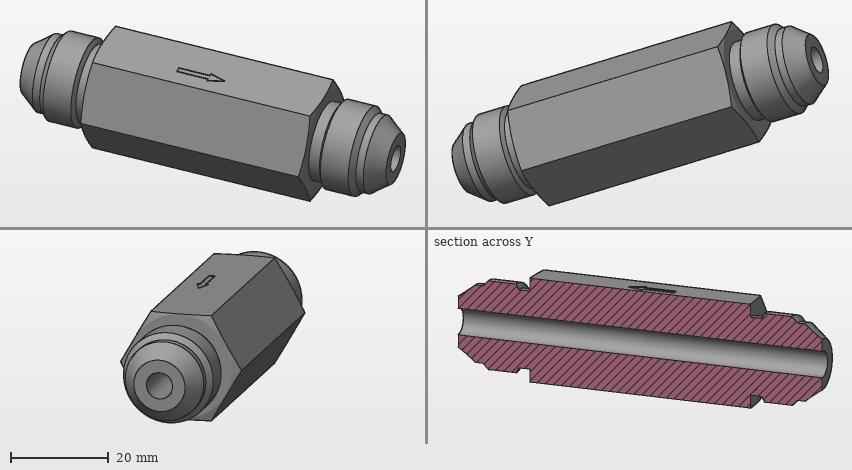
import cadquery as cq
import math

total_length = 80.3
hex_length = 48.7
hex_sides = 6
hex_across_flats = 22.2
hex_across_corners = hex_across_flats / math.cos(math.pi / hex_sides)

hex_face_diameter = 21.9
hex_chamfer_angle = 15.0

tip_diameter = 10.8
nose_diameter = 16.6
collar_diameter = 19.0
neck_diameter = 16.8
flare_half_angle = 37.0
nose_end = 5.45
collar_end = 13.4
collar_outer_chamfer_angle = 45.0
collar_inner_chamfer_angle = 60.0

bore_diameter = 5.5

arrow_tail_x = -6.8
arrow_head_x = 0.0
arrow_tip_x = 3.45
arrow_center_y = -2.1
arrow_shaft_width = 1.2
arrow_head_width = 2.4
arrow_depth = 0.2


def cone_length(small_diameter, large_diameter, half_angle):
    """Axial length of a cone whose wall leans half_angle from the axis."""
    return (large_diameter - small_diameter) / 2 / math.tan(math.radians(half_angle))


def revolve_about_x(points):
    """Solid of revolution about X from a closed (x, radius) outline."""
    return cq.Workplane("XY").polyline(points).close().revolve(360, (0, 0, 0), (1, 0, 0))


def make_hex_bar():
    """Hexagonal bar with flats facing +Z and -Z and its corners turned down at both ends."""
    bar = (
        cq.Workplane("YZ")
        .polygon(hex_sides, hex_across_corners)
        .extrude(hex_length / 2, both=True)
    )
    face_x = hex_length / 2
    face_radius = hex_face_diameter / 2
    corner_radius = hex_across_corners / 2
    chamfer_length = (corner_radius - face_radius) * math.tan(math.radians(hex_chamfer_angle))
    shoulder_x = face_x - chamfer_length
    envelope = revolve_about_x([
        (-face_x, 0),
        (-face_x, face_radius),
        (-shoulder_x, corner_radius),
        (shoulder_x, corner_radius),
        (face_x, face_radius),
        (face_x, 0),
    ])
    return bar.intersect(envelope)


def make_fitting():
    """Fitting on the -X end: flare cone, nose, chamfered collar and neck."""
    tip_x = -total_length / 2
    flare_end_x = tip_x + cone_length(tip_diameter, nose_diameter, flare_half_angle)
    nose_end_x = tip_x + nose_end
    collar_end_x = tip_x + collar_end
    outer_chamfer = cone_length(nose_diameter, collar_diameter, collar_outer_chamfer_angle)
    inner_chamfer = cone_length(neck_diameter, collar_diameter, collar_inner_chamfer_angle)
    return revolve_about_x([
        (tip_x, 0),
        (tip_x, tip_diameter / 2),
        (flare_end_x, nose_diameter / 2),
        (nose_end_x, nose_diameter / 2),
        (nose_end_x + outer_chamfer, collar_diameter / 2),
        (collar_end_x - inner_chamfer, collar_diameter / 2),
        (collar_end_x, neck_diameter / 2),
        (0, neck_diameter / 2),
        (0, 0),
    ])


def make_bore():
    """Straight bore through the whole length."""
    return cq.Workplane("YZ").circle(bore_diameter / 2).extrude(total_length / 2, both=True)


def make_arrow():
    """Shallow arrow pointing to +X, sunk below the top flat."""
    half_shaft = arrow_shaft_width / 2
    half_head = arrow_head_width / 2
    return (
        cq.Workplane("XY", origin=(0, arrow_center_y, hex_across_flats / 2))
        .polyline([
            (arrow_tail_x, -half_shaft),
            (arrow_head_x, -half_shaft),
            (arrow_head_x, -half_head),
            (arrow_tip_x, 0),
            (arrow_head_x, half_head),
            (arrow_head_x, half_shaft),
            (arrow_tail_x, half_shaft),
        ])
        .close()
        .extrude(-arrow_depth)
    )


fitting = make_fitting()
result = (
    make_hex_bar()
    .union(fitting)
    .union(fitting.mirror("YZ"))
    .cut(make_bore())
    .cut(make_arrow())
)